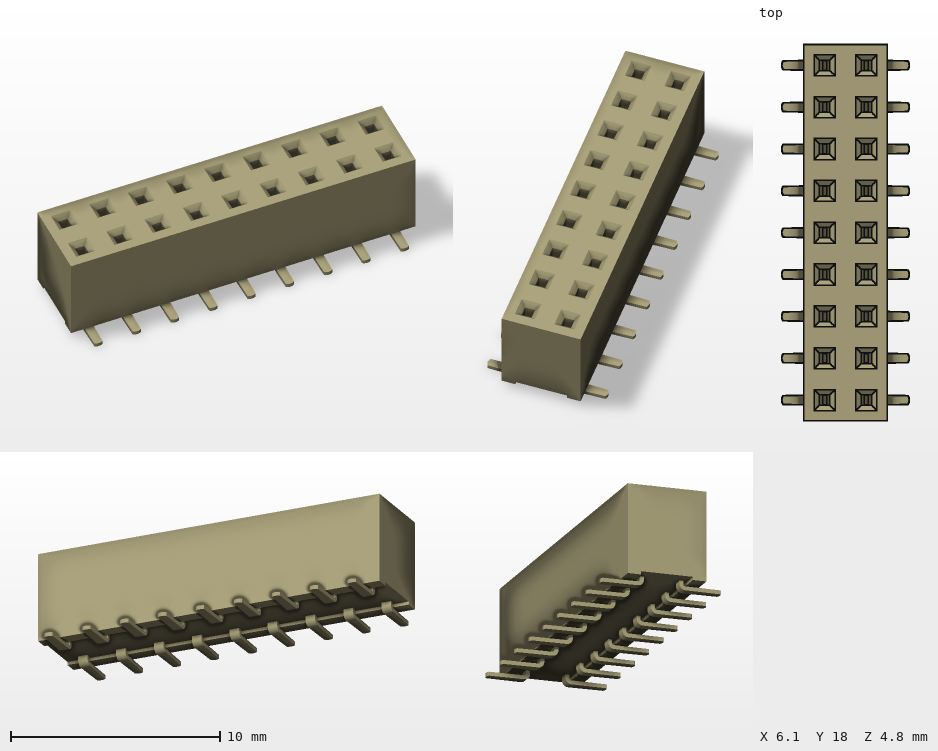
import cadquery as cq
import math


body_length = 18.0
body_width = 4.0
total_height = 4.8
body_height = 4.5
body_bottom = total_height - body_height
recess_width = 2.63
recess_depth = 0.16
recess_ceiling = body_bottom + recess_depth

contacts_per_row = 9
pitch = body_length / contacts_per_row

funnel_mouth = 1.0
hole_side = 0.5
funnel_depth = (funnel_mouth - hole_side) / 2
hole_depth = 1.8
hole_floor = total_height - hole_depth

sheet_thickness = 0.2
blade_width = 0.45
lead_width = 0.5
foot_tip_width = 0.43
contact_top = total_height - 1.08
foot_span = 6.1
foot_reach = foot_span / 2
bend_inner_radius = 0.1
bend_outer_radius = bend_inner_radius + sheet_thickness
tip_bulge = 0.07
anchor_depth = 0.18


def make_housing():
    block = cq.Workplane("XY").box(body_width, body_length, body_height, centered=(True, True, False))
    recess = cq.Workplane("XY").box(recess_width, body_length, recess_depth, centered=(True, True, False))
    return block.cut(recess).translate((0, 0, body_bottom))


def make_socket():
    """Socket cavity, centred on the Z axis."""
    funnel = (
        cq.Workplane("XY", origin=(0, 0, total_height))
        .rect(funnel_mouth, funnel_mouth)
        .workplane(offset=-funnel_depth)
        .rect(hole_side, hole_side)
        .loft()
    )
    hole = (
        cq.Workplane("XY", origin=(0, 0, hole_floor))
        .rect(hole_side, hole_side)
        .extrude(hole_depth - funnel_depth)
    )
    return funnel.union(hole)


def make_blade():
    """Upright contact strip standing on the floor of a socket."""
    return (
        cq.Workplane("XY", origin=(0, 0, hole_floor - anchor_depth))
        .rect(sheet_thickness, blade_width)
        .extrude(contact_top - hole_floor + anchor_depth)
    )


def make_lead():
    """Bent lead below the housing, upright part on the Z axis and foot toward +X."""
    outer_face = sheet_thickness / 2
    inner_face = -outer_face
    bend_end = inner_face + bend_outer_radius
    foot_end = foot_reach - pitch / 2
    arc_share = math.sqrt(0.5)
    bend_center_z = bend_outer_radius
    lead_top = recess_ceiling + anchor_depth

    profile = (
        cq.Workplane("XZ")
        .moveTo(inner_face, lead_top)
        .lineTo(inner_face, bend_center_z)
        .threePointArc(
            (bend_end - bend_outer_radius * arc_share, bend_center_z - bend_outer_radius * arc_share),
            (bend_end, 0),
        )
        .lineTo(foot_end, 0)
        .lineTo(foot_end, sheet_thickness)
        .lineTo(bend_end, sheet_thickness)
        .threePointArc(
            (bend_end - bend_inner_radius * arc_share, bend_center_z - bend_inner_radius * arc_share),
            (outer_face, bend_center_z),
        )
        .lineTo(outer_face, lead_top)
        .close()
        .extrude(lead_width / 2, both=True)
    )

    shoulder = foot_end - tip_bulge
    tapered_plan = (
        cq.Workplane("XY")
        .moveTo(inner_face, -lead_width / 2)
        .lineTo(bend_end, -lead_width / 2)
        .lineTo(shoulder, -foot_tip_width / 2)
        .threePointArc((foot_end, 0), (shoulder, foot_tip_width / 2))
        .lineTo(bend_end, lead_width / 2)
        .lineTo(inner_face, lead_width / 2)
        .close()
        .extrude(lead_top)
    )
    return profile.intersect(tapered_plan)


def at_contacts(shape, sides=(-1, 1)):
    """Copies of a shape at every contact of the rows on the given sides."""
    copies = cq.Workplane("XY")
    for side in sides:
        for index in range(contacts_per_row):
            y = (index - (contacts_per_row - 1) / 2) * pitch
            copies = copies.add(shape.translate((side * pitch / 2, y, 0)).vals())
    return copies.combine()


lead = make_lead()
mirrored_lead = lead.mirror("YZ")

result = make_housing().cut(at_contacts(make_socket()))
result = result.union(at_contacts(make_blade()))
result = result.union(at_contacts(lead, sides=(1,)))
result = result.union(at_contacts(mirrored_lead, sides=(-1,)))